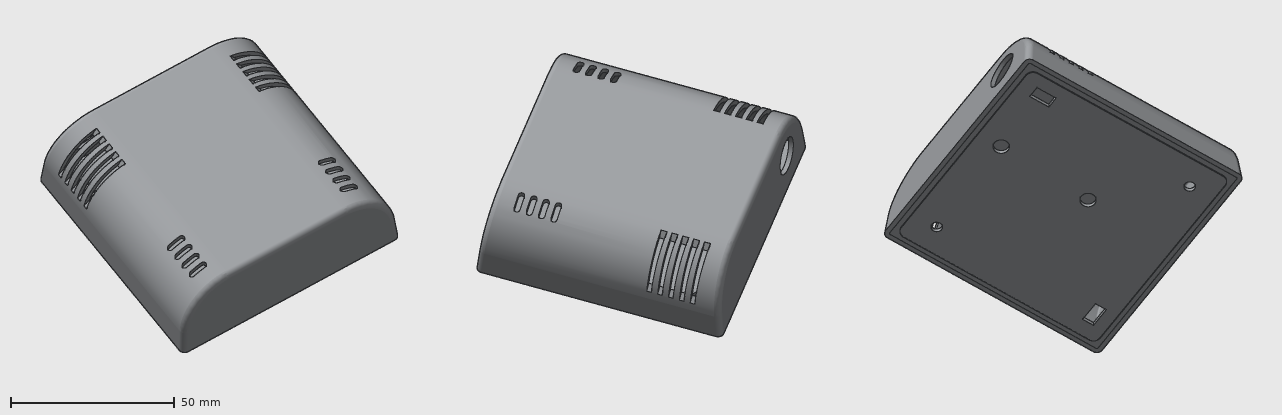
import cadquery as cq
import math

base_size = 80.0
cover_top = 25.5
rim_z = 0.5
draft = math.radians(5)
shoulder_radius = 18.0
end_fillet = 2.0
wall = 1.5
cut_clearance = 0.8

plate_thickness = 1.5
pad_size = 73.6
pad_corner_radius = 2.6
screw_hole_diameter = 3.5
screw_hole_places = [(-27.9, 27.9), (27.9, -27.9)]
wire_hole_diameter = 5.0
wire_hole_places = [(-28.3, -8.0), (4.9, -6.3)]
mount_slot_length = 7.0
mount_slot_width = 4.0
mount_slot_inner = 28.0
mount_slot_outer = 30.4

cable_hole_diameter = 12.0
cable_hole_y = -24.0
cable_hole_z = 13.4

vent_count = 5
vent_first_x = -30.0
vent_pitch = 3.5
vent_upper_width = 1.9
vent_lower_width = 1.4
vent_middle_angle = math.radians(47)
vent_floor_tilt = math.radians(8)
vent_half_angle = math.radians(32.5)

oval_count = 4
oval_first_x = 17.9
oval_pitch = 4.0
oval_width = 2.0
oval_length = 5.9
oval_y = 27.8

shoulder_z = cover_top - shoulder_radius
shoulder_tangent_z = shoulder_z + shoulder_radius * math.sin(draft)
shoulder_tangent_y = base_size / 2 - (shoulder_tangent_z - rim_z) * math.tan(draft)
shoulder_y = shoulder_tangent_y - shoulder_radius * math.cos(draft)


def drafted_block(inset, fillet):
    """Solid inside the enclosure's outer faces, with its faces moved inward by inset."""
    radius = shoulder_radius - inset
    top = cover_top - inset
    rim_half = base_size / 2 - inset / math.cos(draft)
    top_half = rim_half - (top - rim_z) * math.tan(draft)
    tangent_y = shoulder_y + radius * math.cos(draft)
    tangent_z = shoulder_z + radius * math.sin(draft)
    arc_angle = math.pi / 4 + draft / 2
    middle_y = shoulder_y + radius * math.cos(arc_angle)
    middle_z = shoulder_z + radius * math.sin(arc_angle)

    rounded = (
        cq.Workplane("YZ")
        .moveTo(-rim_half, rim_z)
        .lineTo(rim_half, rim_z)
        .lineTo(tangent_y, tangent_z)
        .threePointArc((middle_y, middle_z), (shoulder_y, top))
        .lineTo(-shoulder_y, top)
        .threePointArc((-middle_y, middle_z), (-tangent_y, tangent_z))
        .close()
        .extrude(base_size / 2, both=True)
    )
    leaning_ends = (
        cq.Workplane("XZ")
        .polyline([(-rim_half, rim_z), (rim_half, rim_z), (top_half, top), (-top_half, top)])
        .close()
        .extrude(base_size / 2, both=True)
    )
    block = rounded.intersect(leaning_ends)
    return block.faces("<X or >X").edges("not <Z").fillet(fillet)


def tapered_vents():
    """Cutters for the long vents in the front shoulder, each with a shallow V-shaped floor."""
    reach = shoulder_radius * math.cos(vent_half_angle)
    half_length = shoulder_radius * math.sin(vent_half_angle)
    vee_depth = half_length * math.tan(vent_floor_tilt)
    height = shoulder_radius - reach + cut_clearance
    outward_y = -math.cos(vent_middle_angle)
    outward_z = math.sin(vent_middle_angle)
    floor_y = -shoulder_y + reach * outward_y
    floor_z = shoulder_z + reach * outward_z
    upper = vent_upper_width / 2
    lower = vent_lower_width / 2
    vents = cq.Workplane("XY")
    for i in range(vent_count):
        origin = (vent_first_x + i * vent_pitch, floor_y, floor_z)
        side = (
            cq.Workplane(cq.Plane(origin=origin, xDir=(0, outward_z, -outward_y), normal=(1, 0, 0)))
            .polyline([
                (-half_length, height),
                (-half_length, 0),
                (0, -vee_depth),
                (half_length, 0),
                (half_length, height),
            ])
            .close()
            .extrude(vent_upper_width, both=True)
        )
        plan = (
            cq.Workplane(cq.Plane(origin=origin, xDir=(1, 0, 0), normal=(0, outward_y, outward_z)))
            .polyline([
                (-lower, -half_length),
                (lower, -half_length),
                (upper, half_length),
                (-upper, half_length),
            ])
            .close()
            .extrude(height + vee_depth, both=True)
        )
        vents = vents.add(side.intersect(plan))
    return vents.combine()


def oval_vents():
    """Cutters for the short oval vents in the front shoulder."""
    places = [(oval_first_x + i * oval_pitch, -oval_y) for i in range(oval_count)]
    return (
        cq.Workplane("XY", origin=(0, 0, shoulder_z))
        .pushPoints(places)
        .slot2D(oval_length, oval_width, 90)
        .extrude(shoulder_radius)
    )


def make_cover(cavity):
    cover = drafted_block(0, end_fillet).cut(cavity)
    for cutters in (tapered_vents(), oval_vents()):
        cover = cover.cut(cutters).cut(cutters.mirror("XZ"))
    cable_hole = (
        cq.Workplane("YZ", origin=(-base_size / 2, cable_hole_y, cable_hole_z))
        .circle(cable_hole_diameter / 2)
        .extrude(shoulder_radius)
    )
    return cover.cut(cable_hole)


def plate_holes(places, diameter):
    """Cutters for round holes through the base plate."""
    return cq.Workplane("XY").pushPoints(places).circle(diameter / 2).extrude(plate_thickness)


def make_base(cavity):
    """Plate that fills the mouth of the cover, with a pad below the rim."""
    slab = cq.Workplane("XY").box(base_size, base_size, plate_thickness, centered=(True, True, False))
    pad = (
        cq.Workplane("XY")
        .rect(pad_size, pad_size)
        .extrude(rim_z)
        .edges("|Z")
        .fillet(pad_corner_radius)
    )
    base = cavity.intersect(slab).union(pad)
    screw_holes = plate_holes(screw_hole_places, screw_hole_diameter)
    wire_holes = plate_holes(wire_hole_places, wire_hole_diameter)
    mount_slots = (
        cq.Workplane("XY")
        .center(-mount_slot_inner, -mount_slot_outer)
        .rect(mount_slot_length, mount_slot_width)
        .extrude(plate_thickness)
    ).union(
        cq.Workplane("XY")
        .center(mount_slot_outer, mount_slot_inner)
        .rect(mount_slot_width, mount_slot_length)
        .extrude(plate_thickness)
    )
    return base.cut(screw_holes).cut(wire_holes).cut(mount_slots)


cavity = drafted_block(wall, end_fillet - wall)
cover = make_cover(cavity)
base = make_base(cavity)
result = cq.Compound.makeCompound([cover.val(), base.val()])